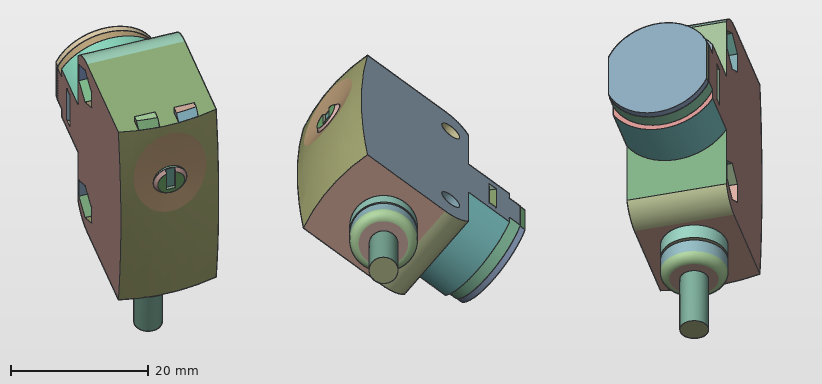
import cadquery as cq
import math

overall_height = 51.4

width = 15.0
half_width = width / 2
half_height = 17.5
cover_x = 17.5
corner_radius = 5.0
corner_length = 4.3

cover_front_x = 20.9
cover_width_radius = 30.85
cover_height_radius = 135.7
cover_axis_x = cover_front_x - cover_width_radius

dish_radius = 46.25
dish_floor_x = 19.75
dish_z = 11.05
adjuster_z = 6.35
adjuster_radius = 2.55
adjuster_top_radius = 2.05
adjuster_front_x = 20.6
adjuster_bevel = adjuster_radius - adjuster_top_radius
adjuster_root_x = 19.0
adjuster_slot_width = 1.4
adjuster_slot_depth = 0.45
adjuster_slot_end = 1.3

tab_height = 1.0
tab_inner_y = 1.45
tab_width = 3.15
tab_crest_x = 18.7
tab_toe_x = 19.75

barrel_start_x = -7.6
seat_start_x = -9.6
lens_start_x = -10.6
lens_half_width = 7.4
nose_steps = [
    (barrel_start_x, 0.0, 9.0, half_width),
    (seat_start_x, barrel_start_x, 8.2, half_width),
    (lens_start_x, seat_start_x, 8.15, lens_half_width),
]

groove_x = -4.45
groove_width = 1.45
groove_length = 6.55
groove_depth = 0.7

hole_x = 3.35
hole_z = 12.05
hole_diameter = 3.3
nut_across_flats = 5.75
nut_pocket_depth = 2.55

gland_x = 9.85
collar_radius = 4.95
neck_radius = 3.6
nut_edge_radius = 1.35
cable_radius = 2.1
collar_bottom_z = -19.8
neck_bottom_z = -20.25
gland_bottom_z = -23.7
cable_bottom_z = half_height + tab_height - overall_height


def centred_box(x_min, x_max, y_size, z_size):
    return cq.Workplane("XY").box(x_max - x_min, y_size, z_size).translate(((x_min + x_max) / 2, 0, 0))


def make_housing():
    arc_end_z = half_height - corner_radius + math.sqrt(corner_radius**2 - corner_length**2)
    half_angle = math.asin(corner_length / corner_radius) / 2
    arc_mid_x = corner_length - corner_radius * math.sin(half_angle)
    arc_mid_z = half_height - corner_radius * (1 - math.cos(half_angle))
    return (
        cq.Workplane("XZ")
        .moveTo(cover_x, half_height)
        .lineTo(corner_length, half_height)
        .threePointArc((arc_mid_x, arc_mid_z), (0, arc_end_z))
        .lineTo(0, -arc_end_z)
        .threePointArc((arc_mid_x, -arc_mid_z), (corner_length, -half_height))
        .lineTo(cover_x, -half_height)
        .close()
        .extrude(half_width, both=True)
    )


def revolve_about_cover_axis(profile):
    return profile.revolve(360, (cover_axis_x, 0, 0), (cover_axis_x, 1, 0))


def make_cover():
    drop = cover_height_radius - math.sqrt(cover_height_radius**2 - half_height**2)
    edge_x = cover_front_x - drop
    barrel = revolve_about_cover_axis(
        cq.Workplane("XZ")
        .moveTo(cover_axis_x, half_height)
        .lineTo(edge_x, half_height)
        .threePointArc((cover_front_x, 0), (edge_x, -half_height))
        .lineTo(cover_axis_x, -half_height)
        .close()
    )
    cover = barrel.intersect(centred_box(cover_x, cover_front_x, width, 2 * half_height))
    dish = cq.Workplane("XY").sphere(dish_radius).translate((dish_floor_x + dish_radius, 0, dish_z))
    return cover.cut(dish)


def make_adjuster():
    length = adjuster_front_x - adjuster_root_x
    button = (
        cq.Workplane("YZ", origin=(adjuster_root_x, 0, adjuster_z))
        .circle(adjuster_radius)
        .extrude(length)
        .faces(">X")
        .chamfer(adjuster_bevel)
    )
    slot_length = adjuster_radius + adjuster_slot_end
    slot = (
        cq.Workplane("XY")
        .box(2 * adjuster_slot_depth, adjuster_slot_width, slot_length)
        .translate((adjuster_front_x, 0, adjuster_z + adjuster_radius - slot_length / 2))
    )
    return button.cut(slot)


def make_tabs():
    top_z = half_height + tab_height
    ring = revolve_about_cover_axis(
        cq.Workplane("XZ").polyline([
            (cover_axis_x, half_height),
            (cover_axis_x, top_z),
            (tab_crest_x, top_z),
            (tab_toe_x, half_height),
        ]).close()
    )
    tab_y = tab_inner_y + tab_width / 2
    block = centred_box(cover_x, cover_front_x, tab_width, 2 * top_z)
    blocks = block.translate((0, tab_y, 0)).union(block.translate((0, -tab_y, 0)))
    return ring.intersect(blocks)


def make_nose_step(start_x, end_x, radius, flat_half_width):
    length = end_x - start_x
    disc = cq.Workplane("YZ", origin=(start_x, 0, 0)).circle(radius).extrude(length)
    return disc.intersect(centred_box(start_x, end_x, 2 * flat_half_width, 2 * radius))


def make_latch_groove(side):
    return (
        cq.Workplane("XY", origin=(groove_x, side * half_width, -groove_length / 2))
        .polyline([
            (-groove_width / 2, 0),
            (groove_width / 2, 0),
            (0, -side * groove_depth),
        ])
        .close()
        .extrude(groove_length)
    )


def make_mounting_hole(z):
    hole = cq.Workplane("XZ", origin=(hole_x, 0, z)).circle(hole_diameter / 2).extrude(half_width, both=True)
    across_corners = nut_across_flats / math.cos(math.pi / 6)
    pocket = (
        cq.Workplane("XZ", origin=(hole_x, -half_width, z))
        .transformed(rotate=(0, 0, 30))
        .polygon(6, across_corners)
        .extrude(-nut_pocket_depth)
    )
    return hole.union(pocket)


def make_cable_gland():
    edge_mid = nut_edge_radius * (1 - math.sqrt(0.5))
    profile = (
        cq.Workplane("XZ", origin=(gland_x, 0, 0))
        .moveTo(0, -half_height)
        .lineTo(collar_radius, -half_height)
        .lineTo(collar_radius, collar_bottom_z)
        .lineTo(neck_radius, collar_bottom_z)
        .lineTo(neck_radius, neck_bottom_z)
        .lineTo(collar_radius, neck_bottom_z)
        .lineTo(collar_radius, gland_bottom_z + nut_edge_radius)
        .threePointArc(
            (collar_radius - edge_mid, gland_bottom_z + edge_mid),
            (collar_radius - nut_edge_radius, gland_bottom_z),
        )
        .lineTo(cable_radius, gland_bottom_z)
        .lineTo(cable_radius, cable_bottom_z)
        .lineTo(0, cable_bottom_z)
        .close()
    )
    return profile.revolve(360, (0, 0, 0), (0, 1, 0))


result = make_housing().union(make_cover()).union(make_adjuster()).union(make_tabs())
for step in nose_steps:
    result = result.union(make_nose_step(*step))
result = result.union(make_cable_gland())
for side in (-1, 1):
    result = result.cut(make_latch_groove(side))
    result = result.cut(make_mounting_hole(side * hole_z))